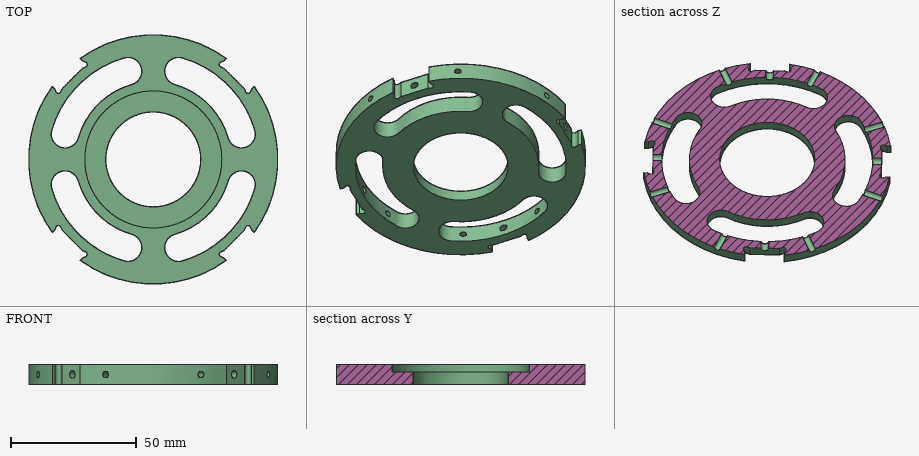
import cadquery as cq
import math

outer_radius = 49.5
thickness = 8.0
bore_radius = 18.8
recess_radius = 27.2
recess_depth = 3.0

slot_mid_radius = 36.4
slot_end_radius = 5.4
slot_half_angle = 29.0

notch_half_width = 7.8
notch_floor_radius = 45.4
relief_start = 2.0
relief_ramp_run = 0.9
relief_ramp_depth = 0.35
relief_tip_depth = 0.25

rim_hole_diameter = 2.5
notch_hole_diameter = 3.0
hole_spacing_angle = 22.5

quadrant_angles = [45.0, 135.0, 225.0, 315.0]


def polar(radius, angle):
    """Point at a radius and an angle in degrees."""
    return (radius * math.cos(math.radians(angle)), radius * math.sin(math.radians(angle)))


def slot_cutter():
    """Arc-shaped slot with round ends, centred on the +X axis."""
    inner = slot_mid_radius - slot_end_radius
    outer = slot_mid_radius + slot_end_radius
    band = (
        cq.Workplane("XY")
        .moveTo(*polar(inner, -slot_half_angle))
        .threePointArc((inner, 0), polar(inner, slot_half_angle))
        .lineTo(*polar(outer, slot_half_angle))
        .threePointArc((outer, 0), polar(outer, -slot_half_angle))
        .close()
        .extrude(thickness)
    )
    end_centers = [polar(slot_mid_radius, side * slot_half_angle) for side in (-1, 1)]
    ends = cq.Workplane("XY").pushPoints(end_centers).circle(slot_end_radius).extrude(thickness)
    return band.union(ends)


def notch_cutter():
    """Flat-floored rim notch on the +X axis with flared, round-tipped corner reliefs."""
    arc_start_distance = relief_start - relief_ramp_run
    floor_edge = (notch_floor_radius, notch_half_width - relief_start)
    arc_start = (notch_floor_radius - relief_ramp_depth, notch_half_width - arc_start_distance)
    arc_tip = (notch_floor_radius - relief_tip_depth, notch_half_width + relief_tip_depth)
    arc_end = (notch_floor_radius + arc_start_distance, notch_half_width + relief_ramp_depth)
    wall_edge = (notch_floor_radius + relief_start, notch_half_width)
    half = (
        cq.Workplane("XY")
        .moveTo(notch_floor_radius, 0)
        .lineTo(*floor_edge)
        .lineTo(*arc_start)
        .threePointArc(arc_tip, arc_end)
        .lineTo(*wall_edge)
        .lineTo(outer_radius, notch_half_width)
        .lineTo(outer_radius, 0)
        .close()
        .extrude(thickness)
    )
    return half.union(half.mirror("XZ"))


def radial_cutter(profile):
    """Hole of the given profile along +X, from the slot out through the rim."""
    return profile.extrude(outer_radius - slot_mid_radius)


def turned(cutter, angle):
    """Cutter rotated about the ring axis."""
    return cutter.rotate((0, 0, 0), (0, 0, 1), angle)


result = cq.Workplane("XY").circle(outer_radius).circle(bore_radius).extrude(thickness)
recess = (
    cq.Workplane("XY", origin=(0, 0, thickness - recess_depth))
    .circle(recess_radius)
    .extrude(recess_depth)
)
result = result.cut(recess)

hole_plane = cq.Workplane("YZ", origin=(slot_mid_radius, 0, thickness / 2))
rim_hole = radial_cutter(hole_plane.circle(rim_hole_diameter / 2))
notch_hole = radial_cutter(hole_plane.circle(notch_hole_diameter / 2))

for quadrant_angle in quadrant_angles:
    for cutter in (slot_cutter(), notch_cutter(), notch_hole):
        result = result.cut(turned(cutter, quadrant_angle))
    for side in (-1, 1):
        result = result.cut(turned(rim_hole, quadrant_angle + side * hole_spacing_angle))